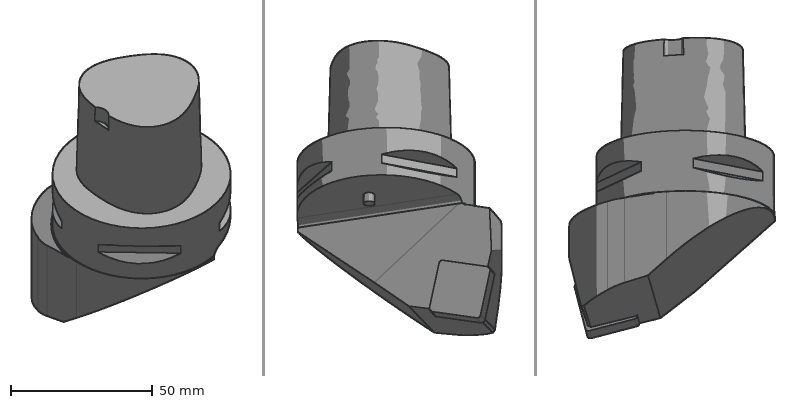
import cadquery as cq
import math


SHANK_HEIGHT = 38.0
SHANK_BASE_RADIUS = 21.8
SHANK_TAPER = 1 / 40
LOBE_HEIGHT = 1.5
LOBE_COUNT = 3
SHANK_PROFILE_POINTS = 36
NOTCH_RADIUS = 4.9
NOTCH_DEPTH = 6.2
NOTCH_CENTER_Y = -22.8

FLANGE_RADIUS = 31.5
FLANGE_HEIGHT = 22.5
GROOVE_COUNT = 4
GROOVE_FLOOR_RADIUS = 27.9
GROOVE_TOP_Z = -8.0
GROOVE_BOTTOM_Z = -15.9
GROOVE_FLOOR_TOP_Z = -10.4
GROOVE_FLOOR_BOTTOM_Z = -13.7

HEAD_RADIUS = 31.7
HEAD_LEFT_X = -40.6
HEAD_ARC_START_Y = -7.2
HEAD_ARC_MIDDLE = (-34.2, -20.9)
HEAD_ARC_END = (-21.6, -30.2)
HEAD_BLEND_MIDDLE = (-18.5, -31.3)
HEAD_FLAT_START_X = -15.1
LIP_RADIUS = 32.0
LIP_HEIGHT = 0.4
SHOULDER_ANGLE = 15.0
SHOULDER_RADIUS = 46.4
FRONT_FACE_Y = 6.0

RELIEF_OUTER_Z = -18.2
RELIEF_INNER_Z = -20.4
RELIEF_FILLET = 3.6

NOZZLE_DIAMETER = 4.0
NOZZLE_Y = 17.4
NOZZLE_END_Z = -22.7

INSERT_SIDE = 19.1
INSERT_THICKNESS = 6.4
INSERT_NOSE_RADIUS = 1.2
INSERT_CORNER = (-35.2, -0.2, -65.2)
RAKE_SLOPE_X = 0.105
RAKE_SLOPE_Z = 0.13
EDGE_SLOPE = 0.25

FLANK_POINT = (HEAD_LEFT_X, 2.4, -40.7)
FLANK_NORMAL = (1, 0.114, 0.26)
END_POINT = (-10.3, 3.7, -58.2)
END_NORMAL = (-EDGE_SLOPE, 0.117, 1)
CORNER_POINT = (-33.9, 0, -63.2)
CORNER_NORMAL = tuple(f + e for f, e in zip(FLANK_NORMAL, END_NORMAL))
BACK_POINT = (31.7, FRONT_FACE_Y, -23.5)
BACK_NORMAL = (-0.836, 0.063, 1)
RAKE_NORMAL = (RAKE_SLOPE_X, -1, RAKE_SLOPE_Z)

PART_BOTTOM_Z = -72.1
CUT_SIZE = 206.0


def lobed_wire(mean_radius, z):
    """Closed smooth curve with three lobes, one of them toward +Y."""
    points = []
    for i in range(SHANK_PROFILE_POINTS):
        angle = 2 * math.pi * i / SHANK_PROFILE_POINTS
        radius = mean_radius + LOBE_HEIGHT * math.cos(LOBE_COUNT * (angle - math.pi / 2))
        points.append(cq.Vector(radius * math.cos(angle), radius * math.sin(angle), z))
    return cq.Wire.assembleEdges([cq.Edge.makeSpline(points, periodic=True)])


def make_shank():
    top_radius = SHANK_BASE_RADIUS - SHANK_HEIGHT * SHANK_TAPER
    base = lobed_wire(SHANK_BASE_RADIUS, 0)
    top = lobed_wire(top_radius, SHANK_HEIGHT)
    shank = cq.Workplane(cq.Solid.makeLoft([base, top], True))
    notch = (
        cq.Workplane(origin=(0, NOTCH_CENTER_Y, SHANK_HEIGHT - NOTCH_DEPTH))
        .circle(NOTCH_RADIUS)
        .extrude(NOTCH_DEPTH)
    )
    return shank.cut(notch)


def make_flange():
    flange = cq.Workplane().circle(FLANGE_RADIUS).extrude(-FLANGE_HEIGHT)
    depth = FLANGE_RADIUS - GROOVE_FLOOR_RADIUS
    wall_top_slope = (GROOVE_TOP_Z - GROOVE_FLOOR_TOP_Z) / depth
    wall_bottom_slope = (GROOVE_FLOOR_BOTTOM_Z - GROOVE_BOTTOM_Z) / depth
    mouth = FLANGE_RADIUS + 1
    mouth_depth = mouth - GROOVE_FLOOR_RADIUS
    groove = (
        cq.Workplane("XZ")
        .moveTo(GROOVE_FLOOR_RADIUS, GROOVE_FLOOR_TOP_Z)
        .lineTo(mouth, GROOVE_FLOOR_TOP_Z + wall_top_slope * mouth_depth)
        .lineTo(mouth, GROOVE_FLOOR_BOTTOM_Z - wall_bottom_slope * mouth_depth)
        .lineTo(GROOVE_FLOOR_RADIUS, GROOVE_FLOOR_BOTTOM_Z)
        .close()
        .extrude(FLANGE_RADIUS, both=True)
    )
    spacing = 360 / GROOVE_COUNT
    for i in range(GROOVE_COUNT):
        flange = flange.cut(groove.rotate((0, 0, 0), (0, 0, 1), spacing * (i + 0.5)))
    return flange


def keep_inside(body, point, normal):
    """Trim away everything on the outer side of a plane."""
    outward = cq.Vector(*normal) * -1
    waste = cq.Workplane(cq.Plane(origin=point, normal=outward)).rect(CUT_SIZE, CUT_SIZE).extrude(CUT_SIZE)
    return body.cut(waste)


def make_head():
    right_x = math.sqrt(HEAD_RADIUS**2 - FRONT_FACE_Y**2)
    diagonal = HEAD_RADIUS * math.sqrt(0.5)
    outline = (
        cq.Workplane(origin=(0, 0, PART_BOTTOM_Z))
        .moveTo(HEAD_LEFT_X, FRONT_FACE_Y)
        .lineTo(HEAD_LEFT_X, HEAD_ARC_START_Y)
        .threePointArc(HEAD_ARC_MIDDLE, HEAD_ARC_END)
        .threePointArc(HEAD_BLEND_MIDDLE, (HEAD_FLAT_START_X, -HEAD_RADIUS))
        .lineTo(0, -HEAD_RADIUS)
        .threePointArc((diagonal, -diagonal), (right_x, FRONT_FACE_Y))
        .close()
        .extrude(-PART_BOTTOM_Z - FLANGE_HEIGHT)
    )
    shoulder_drop = (SHOULDER_RADIUS - LIP_RADIUS) * math.tan(math.radians(SHOULDER_ANGLE))
    lip_bottom = -FLANGE_HEIGHT - LIP_HEIGHT
    shoulder = (
        cq.Workplane("XZ")
        .moveTo(0, -FLANGE_HEIGHT)
        .lineTo(LIP_RADIUS, -FLANGE_HEIGHT)
        .lineTo(LIP_RADIUS, lip_bottom)
        .lineTo(SHOULDER_RADIUS, lip_bottom - shoulder_drop)
        .lineTo(SHOULDER_RADIUS, PART_BOTTOM_Z)
        .lineTo(0, PART_BOTTOM_Z)
        .close()
        .revolve(360, (0, 0), (0, 1))
    )
    head = outline.intersect(shoulder)
    head = keep_inside(head, INSERT_CORNER, RAKE_NORMAL)
    head = keep_inside(head, FLANK_POINT, FLANK_NORMAL)
    head = keep_inside(head, END_POINT, END_NORMAL)
    head = keep_inside(head, CORNER_POINT, CORNER_NORMAL)
    return keep_inside(head, BACK_POINT, BACK_NORMAL)


def make_relief():
    """Filleted space below the +Y side of the flange."""
    slope = (RELIEF_OUTER_Z - RELIEF_INNER_Z) / (FLANGE_RADIUS - FRONT_FACE_Y)
    far_y = FLANGE_RADIUS + FRONT_FACE_Y
    far_z = RELIEF_INNER_Z + slope * (far_y - FRONT_FACE_Y)
    return (
        cq.Workplane("YZ")
        .moveTo(FRONT_FACE_Y, RELIEF_INNER_Z)
        .lineTo(far_y, far_z)
        .lineTo(far_y, PART_BOTTOM_Z)
        .lineTo(FRONT_FACE_Y, PART_BOTTOM_Z)
        .close()
        .extrude(CUT_SIZE, both=True)
        .edges(cq.NearestToPointSelector((0, FRONT_FACE_Y, RELIEF_INNER_Z)))
        .fillet(RELIEF_FILLET)
    )


def make_nozzle():
    height = GROOVE_BOTTOM_Z - NOZZLE_END_Z
    return cq.Workplane(origin=(0, NOZZLE_Y, NOZZLE_END_Z)).circle(NOZZLE_DIAMETER / 2).extrude(height)


def make_insert():
    edge = cq.Vector(1, RAKE_SLOPE_X + RAKE_SLOPE_Z * EDGE_SLOPE, EDGE_SLOPE)
    seat = cq.Plane(origin=INSERT_CORNER, xDir=edge, normal=RAKE_NORMAL)
    return (
        cq.Workplane(seat)
        .rect(INSERT_SIDE, INSERT_SIDE, centered=False)
        .extrude(INSERT_THICKNESS)
        .edges(cq.selectors.ParallelDirSelector(cq.Vector(*RAKE_NORMAL)))
        .fillet(INSERT_NOSE_RADIUS)
    )


insert = make_insert()
holder = make_flange().union(make_head()).cut(make_relief())
holder = holder.union(make_shank()).union(make_nozzle()).cut(insert)

result = cq.Compound.makeCompound([holder.val(), insert.val()])